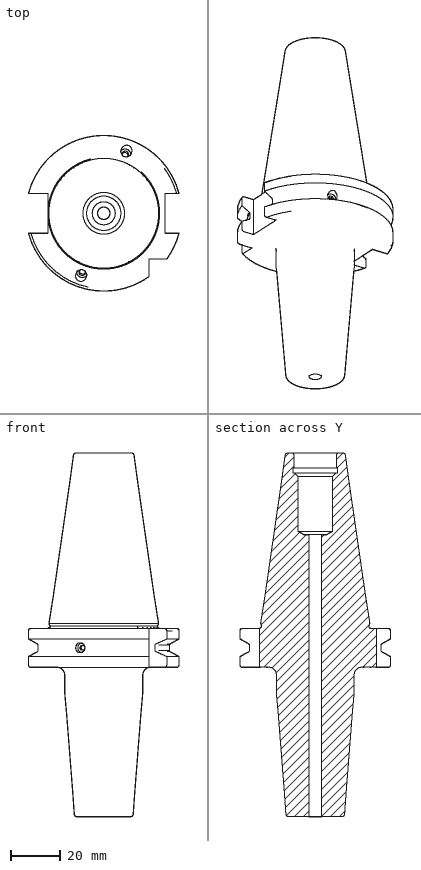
import cadquery as cq
import math

GAUGE_RADIUS = 44.45 / 2
TAPER_SLOPE = 7 / 48
TAPER_LENGTH = 68.4
TAPER_OVERRUN = 1.2
TAPER_TOP_ROUND = 1.0
RELIEF_RADIUS = 22.0
RELIEF_TOP = -2.2
RELIEF_FILLET = 0.8

FLANGE_RADIUS = 63.55 / 2
FLANGE_TOP = -3.2
FLANGE_BOTTOM = -19.1
FLANGE_ROUND = 1.0
GROOVE_CENTRE = -11.1
GROOVE_FLOOR_RADIUS = 28.0
GROOVE_FLOOR_WIDTH = 2.8
GROOVE_FLANK_ANGLE = 30
GROOVE_FILLET = 0.5

SLOT_WIDTH = 16.1
SLOT_FLOORS = {-1: 22.8, 1: 25.0}
NOTCH_X = 18.5
NOTCH_Y = -18.7

NOSE_BOTTOM = -80.0
NOSE_ROOT_RADIUS = 16.0
NOSE_TIP_RADIUS = 12.0
NOSE_TAPER_ANGLE = 4.5
NOSE_FILLET = 3.0
NOSE_TIP_ROUND = 1.0

BORE_ROUND = 1.1
PILOT_RADIUS = 8.5
PILOT_DEPTH = 8.2
UNDERCUT_RADIUS = 9.0
UNDERCUT_HEIGHT = 2.0
THREAD_RADIUS = 7.0
THREAD_DEPTH = 32.0
DRILL_POINT_ANGLE = 120
SEAT_RADIUS = 4.7
COOLANT_RADIUS = 2.5

PORT_ANGLES = (70, 250)
PORT_CIRCLE_RADIUS = 27.0
PORT_DIAMETER = 4.4
PORT_TILT = 25
PORT_DEPTH = 3.0
PORT_SOCKET_WIDTH = 2.5
SCREW_DIAMETER = 4.0
SCREW_DEPTH = 2.5
SCREW_SOCKET_WIDTH = 2.0
SOCKET_DEPTH = 1.5


def taper_radius(z):
    return GAUGE_RADIUS - TAPER_SLOPE * z


def turned_body():
    """Outer shape of the holder, revolved about Z."""
    flank_height = (FLANGE_RADIUS - GROOVE_FLOOR_RADIUS) * math.tan(math.radians(GROOVE_FLANK_ANGLE))
    floor_half = GROOVE_FLOOR_WIDTH / 2
    lip_half = floor_half + flank_height
    nose_taper_height = (NOSE_ROOT_RADIUS - NOSE_TIP_RADIUS) / math.tan(math.radians(NOSE_TAPER_ANGLE))
    taper_round_z = TAPER_LENGTH - TAPER_TOP_ROUND
    tip_round_top = NOSE_BOTTOM + NOSE_TIP_ROUND
    tip_side = NOSE_TIP_RADIUS + NOSE_TIP_ROUND * math.tan(math.radians(NOSE_TAPER_ANGLE))
    diagonal = math.sqrt(0.5)
    round_inner = FLANGE_RADIUS - FLANGE_ROUND
    round_mid = round_inner + FLANGE_ROUND * diagonal
    round_sag = FLANGE_ROUND * (1 - diagonal)
    fillet_mid = NOSE_ROOT_RADIUS + NOSE_FILLET * (1 - diagonal)

    profile = (
        cq.Workplane("YZ")
        .moveTo(0, NOSE_BOTTOM)
        .lineTo(NOSE_TIP_RADIUS - NOSE_TIP_ROUND, NOSE_BOTTOM)
        .tangentArcPoint((tip_side, tip_round_top), relative=False)
        .lineTo(NOSE_ROOT_RADIUS, NOSE_BOTTOM + nose_taper_height)
        .lineTo(NOSE_ROOT_RADIUS, FLANGE_BOTTOM - NOSE_FILLET)
        .threePointArc(
            (fillet_mid, FLANGE_BOTTOM - NOSE_FILLET * (1 - diagonal)),
            (NOSE_ROOT_RADIUS + NOSE_FILLET, FLANGE_BOTTOM),
        )
        .lineTo(round_inner, FLANGE_BOTTOM)
        .threePointArc((round_mid, FLANGE_BOTTOM + round_sag), (FLANGE_RADIUS, FLANGE_BOTTOM + FLANGE_ROUND))
        .lineTo(FLANGE_RADIUS, GROOVE_CENTRE - lip_half)
        .lineTo(GROOVE_FLOOR_RADIUS, GROOVE_CENTRE - floor_half)
        .lineTo(GROOVE_FLOOR_RADIUS, GROOVE_CENTRE + floor_half)
        .lineTo(FLANGE_RADIUS, GROOVE_CENTRE + lip_half)
        .lineTo(FLANGE_RADIUS, FLANGE_TOP - FLANGE_ROUND)
        .threePointArc((round_mid, FLANGE_TOP - round_sag), (round_inner, FLANGE_TOP))
        .lineTo(RELIEF_RADIUS + RELIEF_FILLET, FLANGE_TOP)
        .threePointArc(
            (RELIEF_RADIUS + RELIEF_FILLET * (1 - diagonal), FLANGE_TOP + RELIEF_FILLET * (1 - diagonal)),
            (RELIEF_RADIUS, FLANGE_TOP + RELIEF_FILLET),
        )
        .lineTo(RELIEF_RADIUS, RELIEF_TOP)
        .lineTo(taper_radius(-TAPER_OVERRUN), -TAPER_OVERRUN)
        .lineTo(taper_radius(taper_round_z), taper_round_z)
        .tangentArcPoint((taper_radius(TAPER_LENGTH) - TAPER_TOP_ROUND, TAPER_LENGTH), relative=False)
        .lineTo(0, TAPER_LENGTH)
        .close()
    )
    body = profile.revolve(360, (0, 0), (0, 1))
    floor_edges = cq.selectors.BoxSelector(
        (-GROOVE_FLOOR_RADIUS, -GROOVE_FLOOR_RADIUS, GROOVE_CENTRE - GROOVE_FLOOR_WIDTH),
        (GROOVE_FLOOR_RADIUS, GROOVE_FLOOR_RADIUS, GROOVE_CENTRE + GROOVE_FLOOR_WIDTH),
    )
    return body.edges(floor_edges).fillet(GROOVE_FILLET)


def central_bore():
    """Stepped hole along Z: rounded mouth, pilot, undercut, thread, conical end and coolant passage."""
    step = PILOT_RADIUS - THREAD_RADIUS
    pilot_end = TAPER_LENGTH - PILOT_DEPTH
    thread_end = TAPER_LENGTH - THREAD_DEPTH
    cone_end = thread_end - (THREAD_RADIUS - SEAT_RADIUS) / math.tan(math.radians(DRILL_POINT_ANGLE / 2))
    return (
        cq.Workplane("YZ")
        .moveTo(0, NOSE_BOTTOM)
        .lineTo(COOLANT_RADIUS, NOSE_BOTTOM)
        .lineTo(COOLANT_RADIUS, cone_end)
        .lineTo(SEAT_RADIUS, cone_end)
        .lineTo(THREAD_RADIUS, thread_end)
        .lineTo(THREAD_RADIUS, pilot_end - step)
        .lineTo(PILOT_RADIUS, pilot_end)
        .lineTo(UNDERCUT_RADIUS, pilot_end)
        .lineTo(UNDERCUT_RADIUS, pilot_end + UNDERCUT_HEIGHT)
        .lineTo(PILOT_RADIUS, pilot_end + UNDERCUT_HEIGHT)
        .lineTo(PILOT_RADIUS, TAPER_LENGTH - BORE_ROUND)
        .tangentArcPoint((PILOT_RADIUS + BORE_ROUND, TAPER_LENGTH), relative=False)
        .lineTo(0, TAPER_LENGTH)
        .close()
        .revolve(360, (0, 0), (0, 1))
    )


def flange_cut(x_start, x_end, y_start, y_end):
    """Rectangular cut through the whole height of the flange."""
    return (
        cq.Workplane("XY", origin=(0, 0, FLANGE_BOTTOM))
        .moveTo((x_start + x_end) / 2, (y_start + y_end) / 2)
        .rect(abs(x_end - x_start), abs(y_end - y_start))
        .extrude(FLANGE_TOP - FLANGE_BOTTOM)
    )


def socket_hole(plane, diameter, depth, socket_width):
    """Round hole sunk to a hexagon socket, along +Z of the plane and open on its -Z side."""
    hole = cq.Workplane(plane).circle(diameter / 2).extrude(depth)
    mouth = cq.Workplane(plane).circle(diameter / 2).extrude(-diameter)
    across_corners = socket_width / math.cos(math.pi / 6)
    socket = cq.Workplane(plane).polygon(6, across_corners).extrude(depth + SOCKET_DEPTH)
    return hole.union(mouth).union(socket)


def radial_frame(angle):
    """Outward and tangential unit directions at an angle about Z."""
    turn = math.radians(angle)
    return (math.cos(turn), math.sin(turn)), (-math.sin(turn), math.cos(turn), 0)


def coolant_port(angle):
    """Port in the flange top that leans towards the axis as it goes down."""
    (out_x, out_y), tangent = radial_frame(angle)
    tilt = math.radians(PORT_TILT)
    inward = -math.sin(tilt)
    plane = cq.Plane(
        origin=(PORT_CIRCLE_RADIUS * out_x, PORT_CIRCLE_RADIUS * out_y, FLANGE_TOP),
        xDir=tangent,
        normal=(inward * out_x, inward * out_y, -math.cos(tilt)),
    )
    return socket_hole(plane, PORT_DIAMETER, PORT_DEPTH, PORT_SOCKET_WIDTH)


def groove_screw(angle):
    """Radial screw hole in the floor of the V-groove."""
    (out_x, out_y), tangent = radial_frame(angle)
    plane = cq.Plane(
        origin=(GROOVE_FLOOR_RADIUS * out_x, GROOVE_FLOOR_RADIUS * out_y, GROOVE_CENTRE),
        xDir=tangent,
        normal=(-out_x, -out_y, 0),
    )
    return socket_hole(plane, SCREW_DIAMETER, SCREW_DEPTH, SCREW_SOCKET_WIDTH)


result = turned_body().cut(central_bore())
for side, floor in SLOT_FLOORS.items():
    result = result.cut(flange_cut(side * floor, side * FLANGE_RADIUS, -SLOT_WIDTH / 2, SLOT_WIDTH / 2))
result = result.cut(flange_cut(NOTCH_X, FLANGE_RADIUS, NOTCH_Y, -FLANGE_RADIUS))
for port_angle in PORT_ANGLES:
    result = result.cut(coolant_port(port_angle)).cut(groove_screw(port_angle))